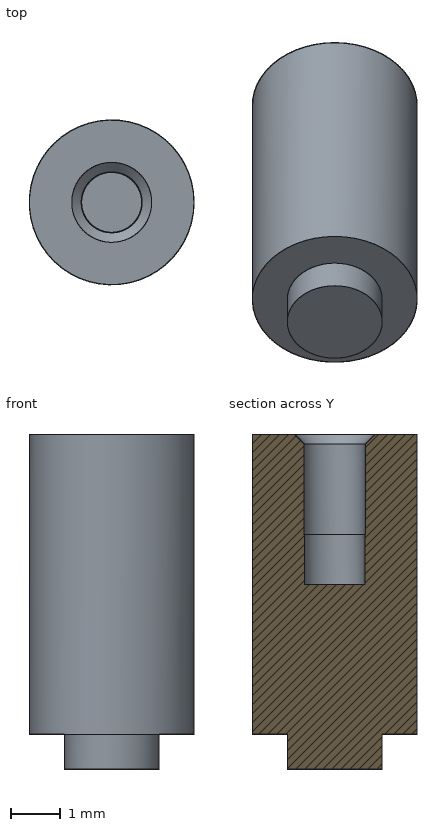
import cadquery as cq

body_diameter = 3.3
body_height = 6.0
pin_diameter = 1.9
pin_length = 0.7

countersink_diameter = 1.6
upper_hole_diameter = 1.22
upper_hole_depth = 2.0
lower_hole_diameter = 1.2
hole_depth = 3.0
countersink_depth = (countersink_diameter - upper_hole_diameter) / 2


def make_body():
    """Cylindrical body standing on the plane Z = 0."""
    return cq.Workplane("XY").circle(body_diameter / 2).extrude(body_height)


def make_pin():
    """Locating pin hanging below the body."""
    return cq.Workplane("XY").circle(pin_diameter / 2).extrude(-pin_length)


def make_hole():
    """Flat-bottomed stepped hole with its conical mouth, revolved about the Z axis."""
    upper_radius = upper_hole_diameter / 2
    lower_radius = lower_hole_diameter / 2
    floor_z = body_height - hole_depth
    step_z = body_height - upper_hole_depth
    cone_z = body_height - countersink_depth
    profile = (
        cq.Workplane("XZ")
        .moveTo(0, floor_z)
        .lineTo(lower_radius, floor_z)
        .lineTo(lower_radius, step_z)
        .lineTo(upper_radius, step_z)
        .lineTo(upper_radius, cone_z)
        .lineTo(countersink_diameter / 2, body_height)
        .lineTo(0, body_height)
        .close()
    )
    return profile.revolve(360, (0, 0, 0), (0, 1, 0))


result = make_body().union(make_pin()).cut(make_hole())